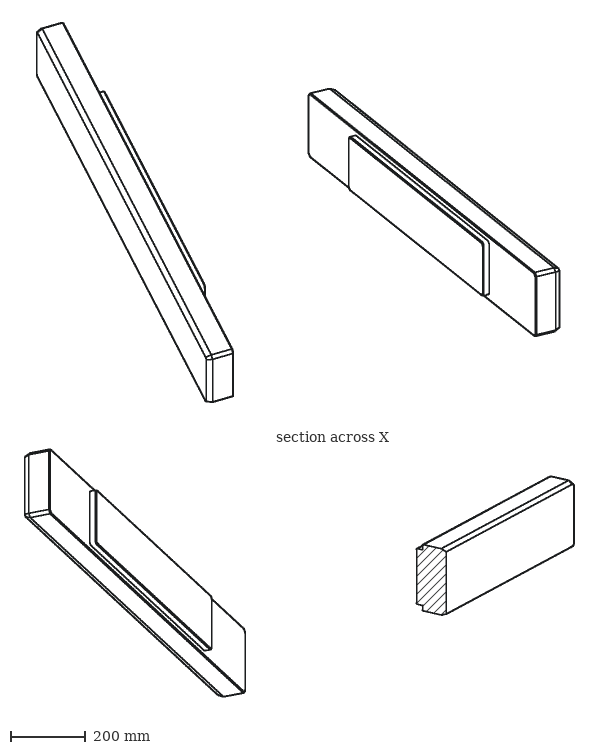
import cadquery as cq
import math

body_length = 1270.0
body_height = 190.0
total_depth = 95.0
corner_chamfer = 9.0

bevel_depth = 15.0
bevel_inset = 6.0

plate_length = 752.0
plate_height = 160.0
plate_thickness = 19.0
plate_corner_radius = 10.0

rim_chamfer = 3.0

body_depth = total_depth - plate_thickness


def chamfered_block(length, height, depth, front, corner):
    """Bar with chamfered corners, running from Y = front toward the back."""
    blank = cq.Workplane("XY").box(length, depth, height, centered=(True, False, True))
    return blank.edges("|Y").chamfer(corner).translate((0, front, 0))


def make_body():
    """Straight bar that tapers to a smaller front face at Y = 0."""
    bar_depth = body_depth - bevel_depth
    bar = chamfered_block(body_length, body_height, bar_depth, bevel_depth, corner_chamfer)
    bar_end = bar.faces("<Y").wires().val()
    face_length = body_length - 2 * bevel_inset
    face_height = body_height - 2 * bevel_inset
    face_corner = corner_chamfer - bevel_inset * (2 - math.sqrt(2))
    face_block = chamfered_block(face_length, face_height, bevel_depth, 0, face_corner)
    front_face = face_block.faces("<Y").wires().val()
    taper = cq.Solid.makeLoft([bar_end, front_face], True)
    return bar.faces(">Y").chamfer(rim_chamfer).union(cq.Workplane(taper))


def make_plate():
    """Rounded rectangular plate standing on the back of the body."""
    blank = cq.Workplane("XY").box(
        plate_length, plate_thickness, plate_height, centered=(True, False, True)
    )
    plate = blank.edges("|Y").fillet(plate_corner_radius).faces(">Y").chamfer(rim_chamfer)
    return plate.translate((0, body_depth, 0))


result = make_body().union(make_plate())